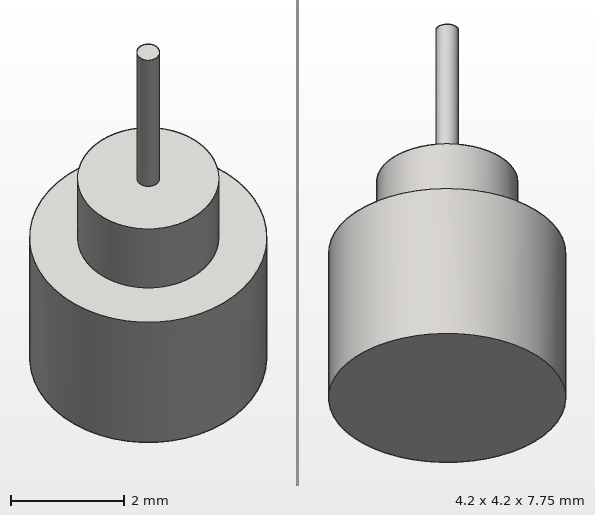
import cadquery as cq

total_height = 7.75
base_diameter = 4.2
base_height = 3.05
collar_diameter = 2.5
collar_height = 1.495
pin_diameter = 0.4

pin_height = total_height - base_height - collar_height


def stack_cylinder(body, diameter, height):
    """Add a coaxial cylinder on the top face of the body."""
    return body.faces(">Z").workplane().circle(diameter / 2).extrude(height)


base = cq.Workplane("XY").circle(base_diameter / 2).extrude(base_height)

with_collar = stack_cylinder(base, collar_diameter, collar_height)
result = stack_cylinder(with_collar, pin_diameter, pin_height)